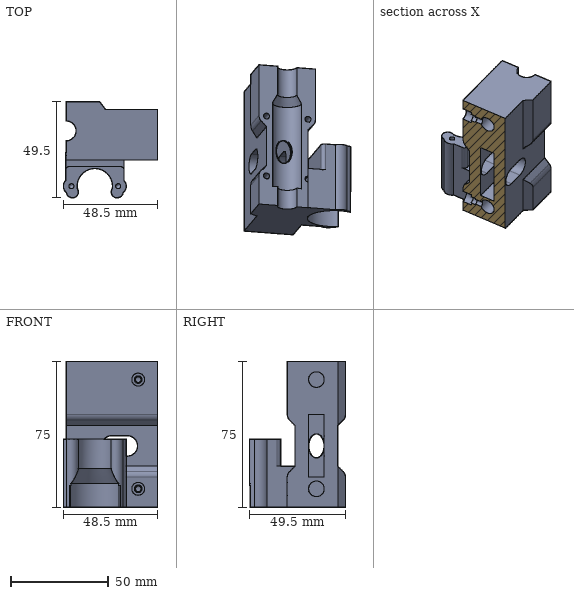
import cadquery as cq
import math

BLOCK_LENGTH = 47.0
BLOCK_HEIGHT = 75.0
BLOCK_HALF_DEPTH = 15.0
WAIST_HALF_DEPTH = 11.0
WAIST_STEP = BLOCK_HALF_DEPTH - WAIST_HALF_DEPTH

CLAMP_Z_LOW = 15.45
CLAMP_Z_HIGH = 47.65
CLAMP_RADIUS = 1.55
CLAMP_DEPTH = 10.0
WAIST_MID_Z = (CLAMP_Z_LOW + CLAMP_Z_HIGH) / 2
WAIST_BOTTOM = CLAMP_Z_LOW + WAIST_STEP * math.sqrt(2)
WAIST_TOP = CLAMP_Z_HIGH - WAIST_STEP * math.sqrt(2)

PAD_END_X = 17.2
PAD_FOOT_X = 20.3

ROD_RADIUS = 5.05
SEAT_RADIUS = 7.6
SEAT_BOTTOM = 10.1
SEAT_TOP = 55.5
SEAT_CONE_TOP = 60.1

POCKET_START_X = 8.5
POCKET_HALF_WIDTH = 4.0
POCKET_HEIGHT = CLAMP_Z_HIGH - CLAMP_Z_LOW
WINDOW_HALF_WIDTH = 3.85
WINDOW_HALF_HEIGHT = 6.1
WINDOW_RIM = 0.4
WINDOW_RIM_END_X = 7.2

SLOT_START_X = 18.2
SLOT_END_X = 36.6
SLOT_RADIUS = 5.2

SOCKET_HEIGHTS = (9.5, 65.6)
SOCKET_RADIUS = 4.0
SOCKET_DEPTH = 30.0

SCREW_X = 37.0
HEAD_RADIUS = 3.3
HEAD_DEPTH = 5.0
SHANK_RADIUS = 1.95
SHANK_DEPTH = 7.5
THREAD_RADIUS = 1.45

DRILL_HALF_ANGLE = math.radians(59)

HOLDER_X = 14.71
HOLDER_Y = -28.4
HOLDER_HALF_WIDTH = 15.0
HOLDER_HEIGHT = 35.0
HOLDER_BACK_Y = -18.25
HOLDER_CORNER_RADIUS = 2.0
FOOT_HEIGHT = WAIST_BOTTOM
HOLDER_BORE_RADIUS = 9.0
WIDE_BORE_RADIUS = 13.6
WIDE_BORE_TOP = 12.25
HOLDER_CONE_TOP = 19.9
PIN_OFFSET = 12.0
PIN_RADIUS = 1.3
PIN_DEPTH = 12.0
EAR_RADIUS = 4.2
LIP_OFFSET = 11.5
LIP_RADIUS = 3.1
HOLDER_FRONT_Y = -34.45
LIP_Y = HOLDER_FRONT_Y + LIP_RADIUS
LIP_TRIM_Y = -34.0
LIP_TRIM_HEIGHT = 11.3


def box(x0, x1, y0, y1, z0, z1):
    return cq.Workplane("XY").box(x1 - x0, y1 - y0, z1 - z0, centered=False).translate((x0, y0, z0))


def revolve_profile(points, x, y):
    """Solid of revolution about a vertical axis from (radius, z) points."""
    profile = cq.Workplane("XZ").polyline(points).close()
    return profile.revolve(360, (0, 0, 0), (0, 1, 0)).translate((x, y, 0))


def drill(start, direction, radius, depth):
    """Blind drilled hole with a conical tip."""
    origin = cq.Vector(*start)
    axis = cq.Vector(*direction)
    tip_length = radius / math.tan(DRILL_HALF_ANGLE)
    shank = cq.Solid.makeCylinder(radius, depth, origin, axis)
    tip = cq.Solid.makeCone(radius, 0, tip_length, origin + axis * depth, axis)
    return cq.Workplane(shank.fuse(tip))


def side_profile():
    """Block extruded along X: two deep ends, a waist, and rounded 45 degree shoulders."""
    deep, waist = BLOCK_HALF_DEPTH, WAIST_HALF_DEPTH
    points = [
        (deep, 0),
        (deep, WAIST_BOTTOM - WAIST_STEP),
        (waist, WAIST_BOTTOM),
        (waist, WAIST_TOP),
        (deep, WAIST_TOP + WAIST_STEP),
        (deep, BLOCK_HEIGHT),
    ]
    mirrored = [(-y, z) for y, z in reversed(points)]
    profile = cq.Workplane("YZ").polyline(points + mirrored).close().extrude(BLOCK_LENGTH)
    for shoulder_y in (-deep, deep):
        shoulders = cq.selectors.BoxSelector(
            (0, shoulder_y - WAIST_STEP / 2, WAIST_BOTTOM - 2 * WAIST_STEP),
            (BLOCK_LENGTH, shoulder_y + WAIST_STEP / 2, WAIST_TOP + 2 * WAIST_STEP),
        )
        profile = profile.edges("|X").edges(shoulders).fillet(WAIST_STEP)
    return profile


def make_block():
    plan = (
        cq.Workplane("XY")
        .moveTo(0, -BLOCK_HALF_DEPTH)
        .lineTo(BLOCK_LENGTH, -BLOCK_HALF_DEPTH)
        .lineTo(BLOCK_LENGTH, WAIST_HALF_DEPTH)
        .lineTo(PAD_FOOT_X, WAIST_HALF_DEPTH)
        .lineTo(PAD_END_X, BLOCK_HALF_DEPTH)
        .lineTo(0, BLOCK_HALF_DEPTH)
        .close()
        .extrude(BLOCK_HEIGHT)
    )
    return plan.intersect(side_profile())


def rod_bore():
    points = [
        (0, 0),
        (ROD_RADIUS, 0),
        (ROD_RADIUS, SEAT_BOTTOM),
        (SEAT_RADIUS, SEAT_BOTTOM),
        (SEAT_RADIUS, SEAT_TOP),
        (ROD_RADIUS, SEAT_CONE_TOP),
        (ROD_RADIUS, BLOCK_HEIGHT),
        (0, BLOCK_HEIGHT),
    ]
    return revolve_profile(points, 0, 0)


def pocket():
    """Pocket open at +X, plus the rimmed oval window that joins it to the bearing seat."""
    half_height = POCKET_HEIGHT / 2
    cavity = box(
        POCKET_START_X, BLOCK_LENGTH,
        -POCKET_HALF_WIDTH, POCKET_HALF_WIDTH,
        WAIST_MID_Z - half_height, WAIST_MID_Z + half_height,
    )
    plane = cq.Workplane("YZ").center(0, WAIST_MID_Z)
    window = plane.ellipse(WINDOW_HALF_WIDTH, WINDOW_HALF_HEIGHT).extrude(POCKET_START_X)
    rim = plane.ellipse(WINDOW_HALF_WIDTH + WINDOW_RIM, WINDOW_HALF_HEIGHT + WINDOW_RIM)
    return cavity.union(window).union(rim.extrude(WINDOW_RIM_END_X))


def cross_slot():
    length = SLOT_END_X - SLOT_START_X
    return (
        cq.Workplane("XZ")
        .center((SLOT_START_X + SLOT_END_X) / 2, WAIST_MID_Z)
        .slot2D(length, 2 * SLOT_RADIUS)
        .extrude(BLOCK_HALF_DEPTH, both=True)
    )


def rod_socket(z):
    """Blind rod socket along X with the stepped screw hole that meets it."""
    socket = cq.Workplane("YZ", origin=(BLOCK_LENGTH, 0, z)).circle(SOCKET_RADIUS).extrude(-SOCKET_DEPTH)
    front = cq.Workplane("XZ", origin=(SCREW_X, -BLOCK_HALF_DEPTH, z))
    head = front.circle(HEAD_RADIUS).extrude(-HEAD_DEPTH)
    shank = drill((SCREW_X, -BLOCK_HALF_DEPTH, z), (0, 1, 0), SHANK_RADIUS, SHANK_DEPTH)
    thread = front.circle(THREAD_RADIUS).extrude(-BLOCK_HALF_DEPTH)
    return socket.union(head).union(shank).union(thread)


def upright_cylinder(x, y, radius, height):
    return cq.Workplane("XY").center(x, y).circle(radius).extrude(height)


def make_holder():
    left = HOLDER_X - HOLDER_HALF_WIDTH
    right = HOLDER_X + HOLDER_HALF_WIDTH
    holder = box(left, right, HOLDER_Y, HOLDER_BACK_Y, 0, HOLDER_HEIGHT)
    holder = holder.edges("|Z and >Y").fillet(HOLDER_CORNER_RADIUS)
    holder = holder.union(box(left, right, HOLDER_Y, -WAIST_HALF_DEPTH, 0, FOOT_HEIGHT))
    for side in (-1, 1):
        pin_x = HOLDER_X + side * PIN_OFFSET
        holder = holder.union(upright_cylinder(pin_x, HOLDER_Y, EAR_RADIUS, HOLDER_HEIGHT))
    holder = holder.cut(upright_cylinder(HOLDER_X, HOLDER_Y, HOLDER_BORE_RADIUS, HOLDER_HEIGHT))
    for side in (-1, 1):
        lip_x = HOLDER_X + side * LIP_OFFSET
        holder = holder.union(upright_cylinder(lip_x, LIP_Y, LIP_RADIUS, HOLDER_HEIGHT))
        pin_top = (HOLDER_X + side * PIN_OFFSET, HOLDER_Y, HOLDER_HEIGHT)
        holder = holder.cut(drill(pin_top, (0, 0, -1), PIN_RADIUS, PIN_DEPTH))
    return holder.cut(lip_trim())


def holder_wide_bore():
    points = [
        (0, 0),
        (WIDE_BORE_RADIUS, 0),
        (WIDE_BORE_RADIUS, WIDE_BORE_TOP),
        (HOLDER_BORE_RADIUS, HOLDER_CONE_TOP),
        (0, HOLDER_CONE_TOP),
    ]
    return revolve_profile(points, HOLDER_X, HOLDER_Y)


def lip_trim():
    """Flat cut that shortens the thin lip ends below the cone."""
    left = HOLDER_X - HOLDER_HALF_WIDTH
    right = HOLDER_X + HOLDER_HALF_WIDTH
    return box(left, right, HOLDER_FRONT_Y, LIP_TRIM_Y, 0, LIP_TRIM_HEIGHT)


body = make_block().cut(rod_bore()).cut(pocket()).cut(cross_slot())
for socket_z in SOCKET_HEIGHTS:
    body = body.cut(rod_socket(socket_z))
for clamp_y in (-WAIST_HALF_DEPTH, WAIST_HALF_DEPTH):
    for clamp_z in (CLAMP_Z_LOW, CLAMP_Z_HIGH):
        body = body.cut(drill((0, clamp_y, clamp_z), (1, 0, 0), CLAMP_RADIUS, CLAMP_DEPTH))

result = body.union(make_holder()).cut(holder_wide_bore())